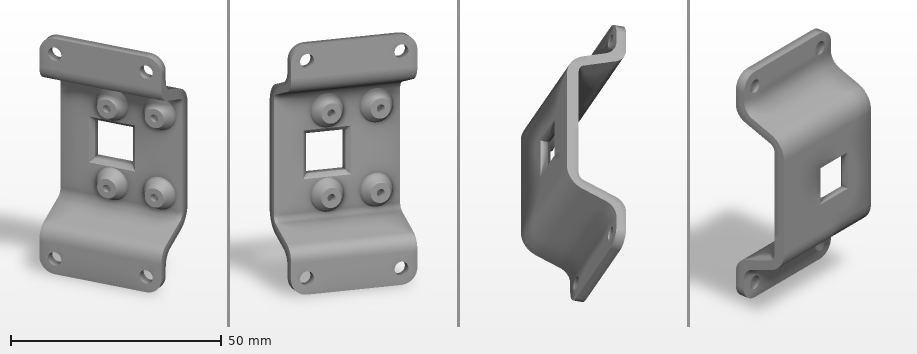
import cadquery as cq
import math

length = 62.0
width = 32.0
depth = 15.0

flange_thickness = 2.5
web_thickness = 2.5
base_thickness = 3.0
web_angle = math.radians(20)
flange_corner_z = 19.95
flange_bend_radius = 4.0
inner_base_bend_radius = 2.0
outer_base_bend_radius = 6.0
corner_radius = 4.0

mount_hole_diameter = 3.5

boss_base_diameter = 8.5
boss_top_diameter = 5.0
boss_height = 3.0
boss_hole_diameter = 2.0
boss_hole_depth = boss_height
boss_columns = (-2.5, 10.0)
boss_row_z = 10.5

window_x = boss_columns[0]
window_size = 10.0
window_bevel = 1.05

base_front = depth - base_thickness


def front_z(y):
    """Height of the front face of the upper sloping web at depth y."""
    return flange_corner_z - y * math.tan(web_angle)


def back_z(y):
    """Height of the back face of the upper sloping web at depth y."""
    return front_z(y) + web_thickness / math.cos(web_angle)


def bent_plate():
    """Extrude the hat-shaped profile and round its bends and outer corners."""
    half_profile = [
        (0, length / 2),
        (0, front_z(0)),
        (base_front, front_z(base_front)),
        (depth, back_z(depth)),
        (flange_thickness, back_z(flange_thickness)),
        (flange_thickness, length / 2),
    ]
    front, back = half_profile[:3], half_profile[3:]
    front_mirror = [(y, -z) for y, z in reversed(front)]
    back_mirror = [(y, -z) for y, z in reversed(back)]
    plate = (
        cq.Workplane("YZ")
        .polyline(front + front_mirror + back_mirror + back)
        .close()
        .extrude(width / 2, both=True)
    )

    bends = (
        (0, front_z(0), flange_bend_radius),
        (base_front, front_z(base_front), inner_base_bend_radius),
        (depth, back_z(depth), outer_base_bend_radius),
        (flange_thickness, back_z(flange_thickness), flange_bend_radius),
    )
    for y, z, radius in bends:
        for side in (1, -1):
            bend_edge = cq.selectors.NearestToPointSelector((0, y, side * z))
            plate = plate.edges("|X").edges(bend_edge).fillet(radius)
    return plate.edges("|Y").fillet(corner_radius)


def mount_holes():
    """Cutters through the four flange corners."""
    return (
        cq.Workplane("XZ")
        .rect(width - 2 * corner_radius, length - 2 * corner_radius, forConstruction=True)
        .vertices()
        .circle(mount_hole_diameter / 2)
        .extrude(-flange_thickness)
    )


def window():
    """Square cutter through the base, flaring toward the front."""
    opening = (
        cq.Workplane("XZ", origin=(window_x, base_front, 0))
        .rect(window_size, window_size)
        .extrude(-base_thickness)
    )
    bevelled_size = window_size + 2 * window_bevel
    bevel = (
        cq.Workplane("XZ", origin=(window_x, base_front, 0))
        .rect(bevelled_size, bevelled_size)
        .workplane(offset=-window_bevel)
        .rect(window_size, window_size)
        .loft()
    )
    return opening.union(bevel)


def boss(x, z):
    """Cone frustum standing on the front of the base, its foot sunk in the bend if needed."""
    return (
        cq.Workplane("XZ", origin=(x, base_front, z))
        .circle(boss_base_diameter / 2)
        .workplane(offset=boss_height)
        .circle(boss_top_diameter / 2)
        .loft()
    )


def boss_hole(x, z):
    """Blind hole from the top of a boss."""
    return (
        cq.Workplane("XZ", origin=(x, base_front - boss_height, z))
        .circle(boss_hole_diameter / 2)
        .extrude(-boss_hole_depth)
    )


result = bent_plate().cut(mount_holes()).cut(window())
for boss_x in boss_columns:
    for boss_z in (boss_row_z, -boss_row_z):
        result = result.union(boss(boss_x, boss_z)).cut(boss_hole(boss_x, boss_z))